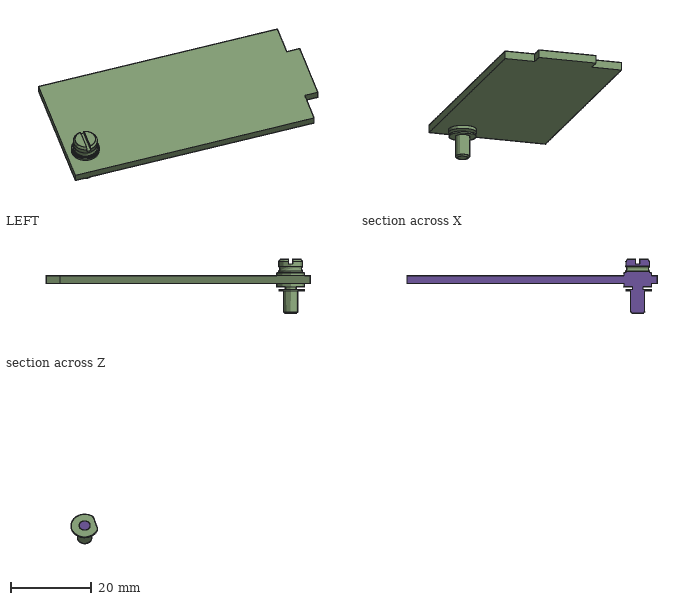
import cadquery as cq

plate_width = 30.5
plate_length = 62.5
plate_thickness = 2.0
tab_width = 15.0
tab_length = 3.4

screw_x = 8.0
screw_y = 4.9
screw_length = 13.53
head_rise = 4.1
screw_top = plate_thickness + head_rise
screw_bottom = screw_top - screw_length

bushing_radius = 3.5
bushing_rise = 0.8
bushing_chamfer = 0.2
bushing_top = plate_thickness + bushing_rise

head_radius = 3.0
head_chamfer_width = 0.45
head_chamfer_height = 0.6
groove_depth = 0.2
groove_height = 1.2
groove_drop = 2.4
groove_middle = screw_top - groove_drop
groove_top = groove_middle + groove_height / 2
groove_bottom = groove_middle - groove_height / 2
slot_width = 1.0
slot_depth = 1.2
cross_hole_diameter = 1.2

neck_radius = 1.4
shank_radius = 1.8
shank_chamfer = 0.4

clip_radius = 3.4
clip_thickness = 0.4
clip_gap = 0.65
clip_flat_offset = 2.85
clip_top = -bushing_rise - clip_gap
clip_bottom = clip_top - clip_thickness


def make_plate():
    """Rectangular plate with a centred tab on its +Y edge."""
    body = cq.Workplane("XY").box(plate_width, plate_length, plate_thickness, centered=(True, False, False))
    tab = (
        cq.Workplane("XY")
        .box(tab_width, tab_length, plate_thickness, centered=(True, False, False))
        .translate((0, plate_length, 0))
    )
    return body.union(tab)


def cylinder(radius, bottom, top):
    """Cylinder on the Z axis between two heights."""
    return cq.Workplane("XY").workplane(offset=bottom).circle(radius).extrude(top - bottom)


def make_head():
    """Chamfered, grooved head with a driver slot along X and a cross hole along Y."""
    head = (
        cq.Workplane("XZ")
        .moveTo(0, bushing_top)
        .lineTo(head_radius, bushing_top)
        .lineTo(head_radius, groove_bottom)
        .threePointArc((head_radius - groove_depth, groove_middle), (head_radius, groove_top))
        .lineTo(head_radius, screw_top - head_chamfer_height)
        .lineTo(head_radius - head_chamfer_width, screw_top)
        .lineTo(0, screw_top)
        .close()
        .revolve(360, (0, 0, 0), (0, 1, 0))
    )
    slot = (
        cq.Workplane("XY")
        .box(2 * head_radius, slot_width, slot_depth, centered=(True, True, False))
        .translate((0, 0, screw_top - slot_depth))
    )
    cross_hole = (
        cq.Workplane("XZ")
        .center(0, groove_middle)
        .circle(cross_hole_diameter / 2)
        .extrude(head_radius, both=True)
    )
    return head.cut(slot).cut(cross_hole)


def make_bushing():
    """Flanged sleeve through the plate, chamfered on its upper rim."""
    return cylinder(bushing_radius, -bushing_rise, bushing_top).faces(">Z").chamfer(bushing_chamfer)


def make_shank():
    """Neck followed by the shank with a chamfered end."""
    neck = cylinder(neck_radius, clip_bottom, -bushing_rise)
    shank = cylinder(shank_radius, screw_bottom, clip_bottom).faces("<Z").chamfer(shank_chamfer)
    return neck.union(shank)


def make_clip():
    """Thin disc with a flat on its +Y side."""
    disc = cylinder(clip_radius, clip_bottom, clip_top)
    beyond_flat = (
        cq.Workplane("XY")
        .box(2 * clip_radius, clip_radius, clip_thickness, centered=(True, False, False))
        .translate((0, clip_flat_offset, clip_bottom))
    )
    return disc.cut(beyond_flat)


screw = make_bushing().union(make_head()).union(make_shank()).union(make_clip())
result = make_plate().union(screw.translate((screw_x, screw_y, 0)))